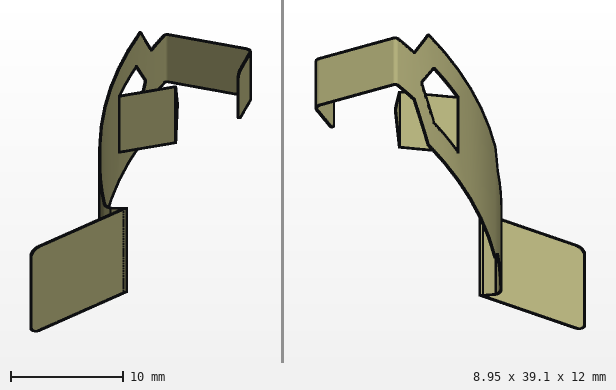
import cadquery as cq
import math

length = 39.1
depth = 8.95
thickness = 0.1
half_sheet = thickness / 2

band_radius = 50.0
band_center_y = 30.3
band_center_x = half_sheet + band_radius
neck_bend_radius = 0.3
flange_bend_radius = 0.55

band_width = 12.0
neck_width = 5.1
foot_width = 9.05

neck_end_y = 36.2
band_top_y = 33.8
band_bottom_y = 15.6
foot_start_y = 14.08

valley_bend_y = 9.05
valley_bend_end = (5.55, 8.52)
crest = (6.8, 8.9)
foot_tip = (0.85, 0.027)
foot_corner_radius = 0.8

flange_end_y = 35.05
flange_corner_radius = 0.7

window_width = 6.02
window_bottom_y = 27.72
window_side_end_y = 32.75
window_apex_y = 35.05
window_apex_radius = 0.4
tongue_bend = (4.45, 30.75)
tongue_tip = (4.1, 32.35)


def band_x(y):
    """X of the middle of the curved band at height y."""
    return band_center_x - math.sqrt(band_radius**2 - (y - band_center_y) ** 2)


def strip(path, start, toward, width):
    """Sheet of the given width following a path in the XY plane."""
    direction = cq.Vector(toward[0] - start[0], toward[1] - start[1], 0)
    section = cq.Plane(origin=(start[0], start[1], 0), xDir=(0, 0, 1), normal=direction)
    return cq.Workplane(section).rect(width, thickness).sweep(path, transition="right")


def side_prism(points):
    """Outline given as (Y, Z) points, extended through the whole depth in X."""
    return cq.Workplane("YZ").polyline(points).close().extrude(depth)


def mirrored(upper_half):
    """Complete an outline by repeating its +Z points on the -Z side."""
    return upper_half + [(y, -z) for y, z in reversed(upper_half)]


def make_band():
    """End web, curved band, hook and foot, cut to the strip outline."""
    web_y = length - half_sheet
    web_start = (depth - half_sheet - flange_bend_radius, web_y)

    center_distance = band_radius - neck_bend_radius
    tangent_angle = math.asin((web_y - neck_bend_radius - band_center_y) / center_distance)
    neck_bend_start = (band_center_x - center_distance * math.cos(tangent_angle), web_y)
    neck_bend_end = (
        band_center_x - band_radius * math.cos(tangent_angle),
        band_center_y + band_radius * math.sin(tangent_angle),
    )
    path = (
        cq.Workplane("XY")
        .moveTo(*web_start)
        .lineTo(*neck_bend_start)
        .tangentArcPoint(neck_bend_end, relative=False)
        .threePointArc((half_sheet, band_center_y), (band_x(valley_bend_y), valley_bend_y))
        .tangentArcPoint(valley_bend_end, relative=False)
        .lineTo(*crest)
        .lineTo(*foot_tip)
    )
    outline = side_prism(
        mirrored(
            [
                (0, foot_width / 2),
                (foot_start_y, foot_width / 2),
                (band_bottom_y, band_width / 2),
                (band_top_y, band_width / 2),
                (neck_end_y, neck_width / 2),
                (length, neck_width / 2),
            ]
        )
    )
    outline = outline.edges("|X and <Y").fillet(foot_corner_radius)
    return strip(path, web_start, neck_bend_start, band_width).intersect(outline)


def make_flange():
    """Short flange turned back from the end web, with rounded free corners."""
    flange_x = depth - half_sheet
    web_y = length - half_sheet
    start = (flange_x, flange_end_y)
    bend_start = (flange_x, web_y - flange_bend_radius)
    path = (
        cq.Workplane("XY")
        .moveTo(*start)
        .lineTo(*bend_start)
        .tangentArcPoint((flange_x - flange_bend_radius, web_y), relative=False)
    )
    flange = strip(path, start, bend_start, neck_width)
    return flange.faces("<Y").edges("|X").fillet(flange_corner_radius)


def make_window():
    """Five-sided opening with a rounded apex toward the neck."""
    half_width = window_width / 2
    window = side_prism(
        [
            (window_bottom_y, half_width),
            (window_side_end_y, half_width),
            (window_apex_y, 0),
            (window_side_end_y, -half_width),
            (window_bottom_y, -half_width),
        ]
    )
    return window.edges("|X and >Y").fillet(window_apex_radius)


def make_tongue():
    """Sloping tongue from the window edge, ending in a bent triangular point."""
    root = (band_x(window_bottom_y), window_bottom_y)
    path = cq.Workplane("XY").moveTo(*root).lineTo(*tongue_bend).lineTo(*tongue_tip)
    outline = side_prism(
        [
            (window_bottom_y - thickness, window_width / 2),
            (tongue_bend[1], window_width / 2),
            (tongue_tip[1], 0),
            (tongue_bend[1], -window_width / 2),
            (window_bottom_y - thickness, -window_width / 2),
        ]
    )
    return strip(path, root, tongue_bend, window_width).intersect(outline)


result = make_band().union(make_flange()).cut(make_window()).union(make_tongue())